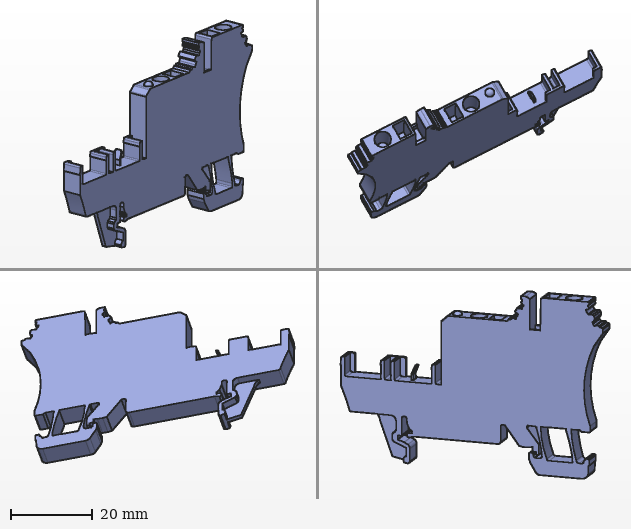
import cadquery as cq


width = 5.1
length = 68.05
height = 45.05
mid_x = width / 2

overlap = 0.7

tower_top = height
deck_top = 38.4
slot_floor = 36.75
post_top = 25.65
lower_floor = 20.75
clip_ceiling = 12.3
underside = 11.9
keel = 6.95

tower_face = 51.8
tower_draft = 0.15
tower_edge_round = 0.55
slot_end = 49.05
step_face = 26.1
foot_side = 15.85
keel_front = 19.05
keel_back = 41.5

side_wall = 0.7
ledge_end = 23.7
middle_post_start = 10.5
middle_post_end = 15.45
middle_back_rib_start = 13.05
end_face = 0.15
end_post_end = 2.25
rib_thickness = 0.95
rib_round = 0.35
rib_root_round = 0.5
post_round = 0.5
floor_round = 0.3
lip_depth = 0.15
lip_undercut = 0.15
lip_height = 24.5
end_lip_height = 23.55

funnel_radius_top = 2.05
funnel_radius_bottom = 1.6
tool_top = (3.95, 3.2)
tool_bottom = (2.9, 2.3)
opening_depth = 6.8
tower_funnel_y = 59.75
tower_tool_y = 54.3
deck_tool_y = 39.95
deck_funnel_y = 35.1
slot_wall = 0.8
slot_wall_far = 0.6
slot_pocket_depth = 2.05

dome_x = 3.0
dome_y = 29.7
dome_radius = 1.15
dome_height = 0.95

foot_web = 1.1

blade_x = 2.3
blade_width = 2.2
blade_tip_width = 1.35
blade_tip_height = 24.5
blade_shoulder = 23.8


def plate(sketch, thickness=width, start_x=0.0):
    """Extrude a closed YZ wire along X from start_x."""
    return sketch.close().extrude(thickness).translate((start_x, 0, 0))


def side_outline(y, z):
    """Start an outline in the YZ plane."""
    return cq.Workplane("YZ").moveTo(y, z)


def follow(sketch, points):
    """Continue an outline with straight lines through the points."""
    for y, z in points:
        sketch = sketch.lineTo(y, z)
    return sketch


def block(x_range, y_range, z_range):
    """Box given by its limits along each axis."""
    sizes = [end - start for start, end in (x_range, y_range, z_range)]
    corner = (x_range[0], y_range[0], z_range[0])
    return cq.Workplane("XY").box(*sizes, centered=False).translate(corner)


def main_block():
    """Tower, deck, lower deck floor and keel; the small steps are marker carrier teeth."""
    back_teeth = [
        (67.9, 38.7), (67.2, 38.85), (67.0, 39.2), (66.15, 39.2), (65.9, 39.05), (65.45, 39.6),
        (65.3, 40.0), (65.75, 40.4), (65.95, 40.9), (65.75, 41.6), (65.4, 41.9), (64.45, 41.8),
        (64.25, 41.9), (63.75, 42.6), (63.6, 43.0), (64.25, 43.2), (64.5, 43.55), (64.1, 44.1),
        (64.5, 44.4), (64.5, 44.8), (64.25, tower_top),
    ]
    deck_teeth = [
        (46.8, tower_top), (46.8, 44.4), (47.1, 44.1), (47.0, 43.75), (46.8, 43.55), (46.9, 43.3),
        (47.5, 42.75), (47.15, 42.3), (47.0, 41.8), (46.3, 41.85), (45.9, 42.05), (45.2, 41.05),
        (45.45, 40.75), (46.0, 40.35), (45.65, 39.75), (45.45, 39.05), (45.1, 39.25), (44.4, 39.3),
        (44.15, 38.9), (43.8, 38.8), (43.7, 39.0), (43.15, deck_top),
    ]
    sketch = follow(side_outline(length, 37.4), [(length, 38.45)] + back_teeth)
    sketch = follow(sketch, [(tower_face + tower_edge_round, tower_top)])
    sketch = sketch.threePointArc((tower_face + 0.3, 44.9), (tower_face + tower_draft, 44.65))
    sketch = follow(sketch, [(tower_face, slot_floor), (slot_end, slot_floor), (slot_end, 44.45)])
    sketch = sketch.threePointArc((48.6, 44.85), (47.9, tower_top))
    sketch = follow(sketch, deck_teeth + [(28.0, deck_top)])
    sketch = sketch.threePointArc((27.75, 38.3), (27.55, 38.2))
    sketch = follow(sketch, [(26.3, 37.0)])
    sketch = sketch.threePointArc((26.1, 36.9), (step_face, 36.7))
    sketch = follow(sketch, [(step_face, lower_floor), (end_face, lower_floor), (end_face, 18.25)])
    sketch = sketch.threePointArc((1.1, 15.9), (2.25, 12.5))
    sketch = sketch.threePointArc((2.4, 12.1), (2.7, underside))
    sketch = follow(sketch, [(foot_side, underside), (foot_side, 11.35)])
    sketch = sketch.threePointArc((16.55, 11.9), (17.2, 11.35))
    sketch = follow(sketch, [(17.2, 10.5), (17.75, 8.9), (18.5, 8.2), (18.5, 7.75), (17.5, 7.75)])
    sketch = sketch.threePointArc((17.2, 7.1), (17.75, 6.6))
    sketch = follow(sketch, [(keel_front, keel), (40.7, keel)])
    sketch = sketch.threePointArc((41.3, 7.15), (keel_back, 7.75))
    sketch = follow(sketch, [(keel_back, clip_ceiling), (61.9, clip_ceiling), (62.55, underside)])
    sketch = follow(sketch, [(64.5, underside), (64.7, 12.2), (64.7, 13.7)])
    sketch = sketch.threePointArc((63.15, 22.65), (65.75, 33.95))
    return plate(sketch)


def rail_hook():
    """Hook behind the rail clip, running into the main block."""
    sketch = side_outline(keel_back - overlap, clip_ceiling)
    sketch = follow(sketch, [(keel_back - overlap, 11.65), (keel_back, 11.65)])
    sketch = sketch.threePointArc((42.05, 12.0), (42.7, 11.85))
    sketch = follow(sketch, [(46.35, keel), (47.4, 6.75), (48.8, 6.8), (49.75, 6.95), (49.75, 6.0)])
    sketch = follow(sketch, [(50.75, 5.7), (50.75, 5.1), (51.4, 5.1), (51.4, 7.9), (48.3, 11.8)])
    sketch = follow(sketch, [(48.6, clip_ceiling + overlap), (keel_back - overlap, clip_ceiling + overlap)])
    return plate(sketch)


def rail_clip():
    """Clip bar on two slanted struts, with an open window between the struts."""
    top = clip_ceiling + overlap
    sketch = follow(side_outline(50.5, top), [(50.5, clip_ceiling), (50.75, 12.05)])
    sketch = sketch.threePointArc((51.65, 8.85), (52.25, 5.25))
    sketch = sketch.threePointArc((52.1, 4.6), (51.8, 4.3))
    sketch = follow(sketch, [(50.35, 4.3), (49.95, 4.8), (49.95, 5.25)])
    sketch = sketch.threePointArc((49.4, 5.6), (48.85, 5.3))
    sketch = follow(sketch, [(48.85, 3.95), (49.2, 2.9), (50.6, 0.6)])
    sketch = sketch.threePointArc((51.2, 0.15), (51.8, 0))
    sketch = follow(sketch, [(62.7, 0)])
    sketch = sketch.threePointArc((63.75, 0.5), (64.25, 1.5))
    sketch = follow(sketch, [(64.3, 3.4), (64.5, 3.55), (64.5, 5.0), (64.25, 5.2), (63.55, 5.2), (63.35, 4.8)])
    sketch = follow(sketch, [(62.75, 3.9), (61.8, 3.9)])
    sketch = sketch.threePointArc((61.3, 4.15), (61.1, 4.7))
    sketch = sketch.threePointArc((60.15, 9.0), (59.8, clip_ceiling))
    sketch = follow(sketch, [(59.8, top)])
    clip = plate(sketch)

    window = follow(side_outline(58.45, clip_ceiling), [(51.9, clip_ceiling)])
    window = window.threePointArc((52.3, 8.3), (53.5, 4.35))
    window = window.threePointArc((53.6, 4.0), (53.95, 3.9))
    window = follow(window, [(59.9, 3.9)])
    window = window.threePointArc((60.1, 3.95), (60.15, 4.15))
    window = follow(window, [(60.15, 5.0)])
    window = window.threePointArc((59.4, 8.7), (58.45, 12.0))
    return clip.cut(plate(window))


def foot_seam(sketch):
    """Inner edge of the foot's strip, where it drops to the web, from the underside down."""
    sketch = follow(sketch, [(13.2, underside)])
    sketch = sketch.threePointArc((14.0, 11.5), (14.4, 10.5))
    sketch = follow(sketch, [(14.4, 8.45), (14.2, 7.95), (13.6, 7.5), (13.4, 7.1)])
    sketch = follow(sketch, [(13.4, 5.9), (13.75, 5.3), (17.0, 3.95), (17.0, 1.9)])
    sketch = sketch.threePointArc((16.5, 1.4), (16.25, 0.8))
    return follow(sketch, [(16.5, 0.2)])


def foot():
    """Sprung foot: a full-width edge strip with a thin central web behind it."""
    strip = foot_seam(side_outline(13.2, underside + overlap))
    strip = follow(strip, [(17.5, 0)])
    strip = strip.threePointArc((17.8, 0.2), (18.0, 0.55))
    strip = follow(strip, [(18.0, 3.95)])
    strip = strip.threePointArc((17.8, 4.5), (17.4, 4.9))
    strip = follow(strip, [(16.5, 5.4), (14.85, 5.85), (14.85, 6.6)])
    strip = strip.threePointArc((14.9, 6.9), (15.2, keel))
    strip = follow(strip, [(foot_side, keel), (foot_side, underside + overlap)])

    web = foot_seam(follow(side_outline(8.25, underside + overlap), [(13.2, underside + overlap)]))
    web = follow(web, [(13.3, 0.8)])
    web = web.threePointArc((12.9, 0.9), (12.7, 1.1))
    web = follow(web, [(9.5, 9.9)])
    web = web.threePointArc((9.05, 11.15), (8.25, underside))
    return plate(strip).union(plate(web, foot_web, mid_x - foot_web / 2))


def side_wall_post(y_start, y_end):
    """Post of the lower deck standing on the side wall."""
    return block((0, side_wall), (y_start, y_end), (lower_floor - overlap, post_top))


def cross_rib(y_face):
    """Full-width rib with a rounded front top edge, its low-end face at y_face."""
    rib = block((0, width), (y_face, y_face + rib_thickness), (lower_floor - overlap, post_top))
    return rib.edges("|X and >Z and <Y").fillet(rib_round)


def snap_lip(y_face, z):
    """Overhang on the low-end face of a rib: slopes out down to height z, then cuts back."""
    base = y_face + lip_depth
    slope_top = post_top - rib_round
    profile = [
        (y_face, z - lip_undercut), (y_face - lip_depth, z), (y_face, slope_top), (base, slope_top),
    ]
    return plate(follow(side_outline(base, z - lip_undercut), profile))


def floor_fillet(y_face, radius, side):
    """Concave fillet where a rib face meets the lower deck floor, on its +Y or -Y side."""
    y_axis = y_face + side * radius
    z_axis = lower_floor + radius
    corner = block((0, width), sorted((y_face, y_axis)), (lower_floor, z_axis))
    return corner.cut(side_outline(y_axis, z_axis).circle(radius).extrude(width))


def lower_deck():
    """Side wall posts and cross ribs with their snap lips."""
    ledge = side_wall_post(ledge_end + post_round, step_face + overlap)
    middle = side_wall_post(middle_post_start, middle_post_end).edges("|X and >Z").fillet(post_round)
    end = side_wall_post(end_face + post_round, end_post_end).edges("|X and >Z and >Y").fillet(post_round)
    deck = ledge.union(middle).union(end)
    for y_face in (ledge_end, middle_back_rib_start, middle_post_start, end_face):
        deck = deck.union(cross_rib(y_face))
        deck = deck.union(floor_fillet(y_face + rib_thickness, rib_root_round, 1))
    for y_face, z in ((ledge_end, lip_height), (middle_post_start, lip_height), (end_face, end_lip_height)):
        deck = deck.union(snap_lip(y_face, z))
    for y_face in (ledge_end, middle_post_start):
        deck = deck.union(floor_fillet(y_face, floor_round, -1))
    return deck


def wire_funnel(y, top):
    """Tapered round wire entry."""
    mouth = cq.Workplane("XY", origin=(mid_x, y, top)).circle(funnel_radius_top)
    return mouth.workplane(offset=-opening_depth).circle(funnel_radius_bottom).loft()


def tool_opening(y, top):
    """Tapered rectangular screwdriver entry."""
    mouth = cq.Workplane("XY", origin=(mid_x, y, top)).rect(*tool_top)
    return mouth.workplane(offset=-opening_depth).rect(*tool_bottom).loft()


def slot_pocket():
    """Deeper middle part of the slot behind the tower."""
    return block(
        (slot_wall, width - slot_wall_far),
        (slot_end, tower_face),
        (slot_floor - slot_pocket_depth, slot_floor),
    )


def indicator_dome():
    """Round indicator cap on the deck, embedded below the deck surface."""
    center = (dome_x, dome_y, deck_top + dome_height - dome_radius)
    return cq.Workplane("XY").sphere(dome_radius).translate(center)


def make_housing():
    housing = main_block().union(rail_hook()).union(rail_clip()).union(foot())
    housing = housing.union(lower_deck()).union(indicator_dome())
    for y, top in ((tower_funnel_y, tower_top), (deck_funnel_y, deck_top)):
        housing = housing.cut(wire_funnel(y, top))
    for y, top in ((tower_tool_y, tower_top), (deck_tool_y, deck_top)):
        housing = housing.cut(tool_opening(y, top))
    return housing.cut(slot_pocket())


def make_contact_blade():
    """Bent strip standing on the lower deck floor, narrowed towards its tip."""
    bend = [(17.75, 22.2), (18.7, blade_tip_height), (19.05, 24.3), (18.25, 22.25), (18.3, lower_floor)]
    sketch = follow(side_outline(17.8, lower_floor), bend)
    strip = plate(sketch, blade_width, blade_x - blade_width / 2)
    half = blade_width / 2
    half_tip = blade_tip_width / 2
    face_outline = (
        cq.Workplane("XZ", origin=(blade_x, 0, 0))
        .polyline([
            (-half, lower_floor), (half, lower_floor), (half, blade_shoulder),
            (half_tip, blade_tip_height), (-half_tip, blade_tip_height), (-half, blade_shoulder),
        ])
        .close()
        .extrude(-length)
    )
    return strip.intersect(face_outline)


housing = make_housing()
contact_blade = make_contact_blade()
result = cq.Compound.makeCompound([housing.val(), contact_blade.val()])